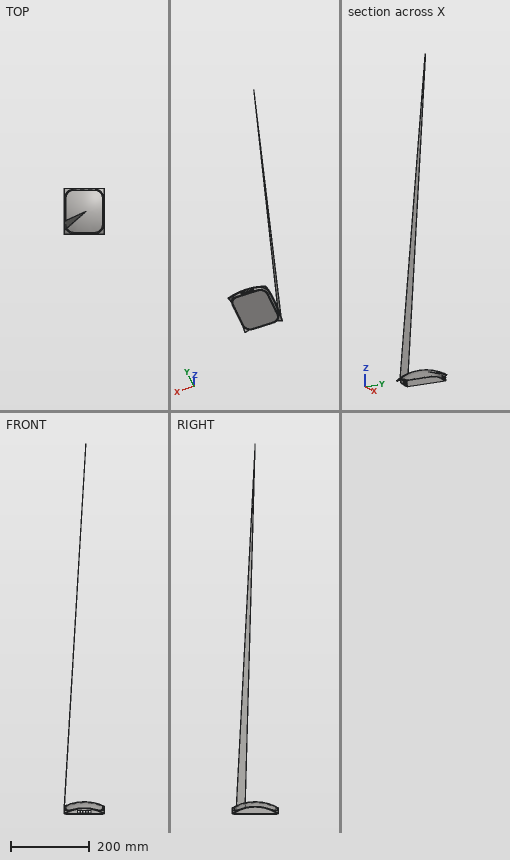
import cadquery as cq
import math

LENGTH_X = 102.83
WIDTH_Y = 117.41
HEIGHT_Z = 942.12

LID_RADIUS = 117.0
LID_THICKNESS = 2.4
LID_TOP_Z = 32.8
LID_CENTRE_Z = LID_TOP_Z - LID_RADIUS
UNDERSIDE_RADIUS = LID_RADIUS - LID_THICKNESS
CONE_REACH = 1.2

BLADE_THICKNESS = 0.5
BLADE_ROOT_DEPTH = 0.8
BLADE_BACK_Y = -25.5
BLADE_FRONT_Y = -49.0
BLADE_TIP_X = 3.8
BLADE_TIP_Y = -0.4
BLADE_TIP_WIDTH = 0.2

BASE_LENGTH_X = 98.0
BASE_WIDTH_Y = 112.5
BASE_CORNER_RADIUS = 21.5
BASE_CHAMFER = 2.0
WALL = 3.0
FLOOR = 2.0

WINDOW_WIDTH = 34.0
WINDOW_BOTTOM_Z = 4.0
WINDOW_TOP_Z = 10.0
BAR_WIDTH = 1.5
BAR_POSITIONS_X = (-10.0, -4.3, 4.3, 10.0)


def underside_ball():
    """The ball whose surface is the underside of the lid."""
    return cq.Workplane("XY").sphere(UNDERSIDE_RADIUS).translate((0, 0, LID_CENTRE_Z))


def lid_surface_z(x, y):
    """Height of the top of the lid at (x, y)."""
    return LID_CENTRE_Z + math.sqrt(LID_RADIUS**2 - x**2 - y**2)


def edge_cone(half_size, direction):
    """A cone from the centre of the ball, meeting the top of the lid along one of its edges."""
    circle_radius = math.sqrt(LID_RADIUS**2 - half_size**2)
    return cq.Solid.makeCone(
        0,
        circle_radius * CONE_REACH,
        half_size * CONE_REACH,
        pnt=cq.Vector(0, 0, LID_CENTRE_Z),
        dir=cq.Vector(*direction),
    )


def make_shell():
    """A cap between two concentric balls, with all four edges at right angles to its surfaces."""
    ball = cq.Workplane("XY").sphere(LID_RADIUS).translate((0, 0, LID_CENTRE_Z))
    upper_half = cq.Workplane("XY").workplane(offset=LID_CENTRE_Z).rect(LENGTH_X, WIDTH_Y).extrude(LID_RADIUS)
    shell = ball.cut(underside_ball()).intersect(upper_half)
    for side in (1, -1):
        shell = shell.cut(cq.Workplane(edge_cone(LENGTH_X / 2, (side, 0, 0))))
        shell = shell.cut(cq.Workplane(edge_cone(WIDTH_Y / 2, (0, side, 0))))
    return shell


def blade_section(x, back_y, front_y, back_z, front_z):
    """One end of the blade: a narrow closed outline with its -X side at x."""
    inner_x = x + BLADE_THICKNESS
    corners = [
        (x, back_y, back_z),
        (x, front_y, front_z),
        (inner_x, front_y, front_z),
        (inner_x, back_y, back_z),
    ]
    return cq.Wire.makePolygon([cq.Vector(*corner) for corner in corners], close=True)


def make_blade():
    """The leaning triangle, drawn from a root sunk in the lid edge to a narrow tip."""
    edge_x = -LENGTH_X / 2
    root = blade_section(
        edge_x,
        BLADE_BACK_Y,
        BLADE_FRONT_Y,
        lid_surface_z(edge_x, BLADE_BACK_Y) - BLADE_ROOT_DEPTH,
        lid_surface_z(edge_x, BLADE_FRONT_Y) - BLADE_ROOT_DEPTH,
    )
    tip = blade_section(BLADE_TIP_X, BLADE_TIP_Y + BLADE_TIP_WIDTH, BLADE_TIP_Y, HEIGHT_Z, HEIGHT_Z)
    return cq.Workplane(cq.Solid.makeLoft([root, tip], True))


def make_lid():
    return make_shell().union(make_blade())


def make_outside():
    """The solid outline of the base, with a chamfer round its bottom and its top under the lid."""
    block = cq.Workplane("XY").rect(BASE_LENGTH_X, BASE_WIDTH_Y).extrude(LID_TOP_Z)
    block = block.edges("|Z").fillet(BASE_CORNER_RADIUS)
    block = block.faces("<Z").edges().chamfer(BASE_CHAMFER)
    return block.intersect(underside_ball())


def make_cavity():
    """The hollow of the base, open at the top."""
    hollow = cq.Workplane("XY").workplane(offset=FLOOR)
    hollow = hollow.rect(BASE_LENGTH_X - 2 * WALL, BASE_WIDTH_Y - 2 * WALL).extrude(LID_TOP_Z)
    return hollow.edges("|Z").fillet(BASE_CORNER_RADIUS - WALL)


def make_window():
    """The opening cut through both Y walls, leaving the bars."""
    height = WINDOW_TOP_Z - WINDOW_BOTTOM_Z
    plane = cq.Workplane("XY").workplane(offset=WINDOW_BOTTOM_Z)
    opening = plane.rect(WINDOW_WIDTH, WIDTH_Y).extrude(height)
    bar_places = [(x, 0) for x in BAR_POSITIONS_X]
    bars = plane.pushPoints(bar_places).rect(BAR_WIDTH, WIDTH_Y).extrude(height)
    return opening.cut(bars)


def make_base():
    return make_outside().cut(make_cavity()).cut(make_window())


lid = make_lid()
base = make_base()

result = cq.Compound.makeCompound([*lid.solids().vals(), *base.solids().vals()])